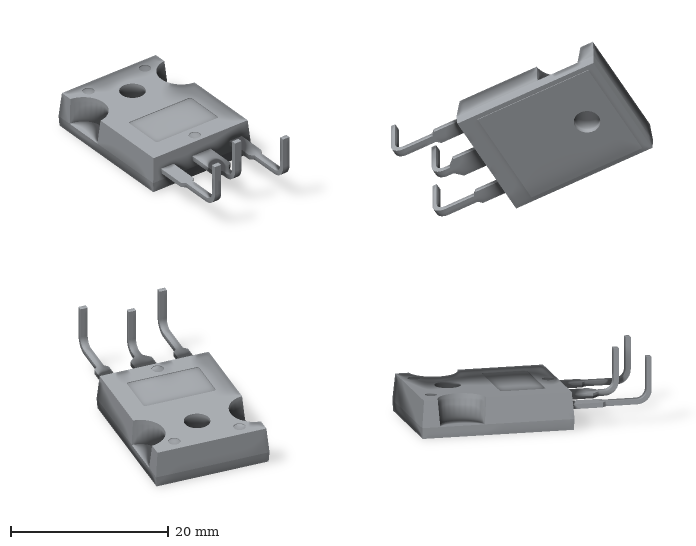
import cadquery as cq
import math

body_length = 20.0
body_width = 15.6
pad_thickness = 0.1
parting_z = 1.53
body_top_z = 5.02
top_inset = 0.3
bottom_inset = 0.1

hole_x = 5.3
hole_diameter = 3.4
notch_floor_diameter = 5.85
notch_top_diameter = 6.4

mark_depth = 0.1
dimple_diameter = 1.55
rear_dimple_x = 2.0
rear_dimple_y = 4.5
front_dimple_x = 18.48
label_start_x = 11.0
label_length = 5.97
label_width = 9.95
label_corner_radius = 0.3

pad_start_x = 1.2
pad_length = 16.13
pad_width = 14.15

lead_pitch = 5.45
lead_bottom_z = 2.48
lead_thickness = 0.65
lead_top_z = 8.6
lead_root_x = body_length - 0.92
lead_shoulder_x = 24.05
lead_tip_width = 1.0
lead_bend_radius = 1.87
outer_lead_end_x = 30.6
outer_lead_root_width = 2.0
center_lead_end_x = 27.65
center_lead_root_width = 2.95


def tapered_half(height, inset):
    """Body half rising from the parting plane; a negative height goes down."""
    taper = math.degrees(math.atan(inset / abs(height)))
    return (
        cq.Workplane("XY", origin=(body_length / 2, 0, parting_z))
        .rect(body_length, body_width)
        .extrude(height, taper=taper)
    )


def clip_notch(side):
    """Cone, narrowing downward, centred on one long edge of the body."""
    return cq.Workplane(
        cq.Solid.makeCone(
            notch_floor_diameter / 2,
            notch_top_diameter / 2,
            body_top_z - parting_z,
            pnt=cq.Vector(hole_x, side * body_width / 2, parting_z),
        )
    )


def lead(center_y, end_x, root_width):
    """Flat lead that narrows at 45 degrees and then bends straight up."""
    bend_x = end_x - lead_bend_radius
    bend_z = lead_bottom_z + lead_bend_radius
    inner_radius = lead_bend_radius - lead_thickness
    diagonal = math.sqrt(0.5)
    profile = (
        cq.Workplane("XZ", origin=(0, center_y, 0))
        .moveTo(lead_root_x, lead_bottom_z)
        .lineTo(bend_x, lead_bottom_z)
        .threePointArc(
            (bend_x + lead_bend_radius * diagonal, bend_z - lead_bend_radius * diagonal),
            (end_x, bend_z),
        )
        .lineTo(end_x, lead_top_z)
        .lineTo(end_x - lead_thickness, lead_top_z)
        .lineTo(end_x - lead_thickness, bend_z)
        .threePointArc(
            (bend_x + inner_radius * diagonal, bend_z - inner_radius * diagonal),
            (bend_x, lead_bottom_z + lead_thickness),
        )
        .lineTo(lead_root_x, lead_bottom_z + lead_thickness)
        .close()
        .extrude(root_width / 2, both=True)
    )
    half_root = root_width / 2
    half_tip = lead_tip_width / 2
    neck_x = lead_shoulder_x + half_root - half_tip
    plan = (
        cq.Workplane("XY", origin=(0, center_y, 0))
        .polyline([
            (lead_root_x, -half_root),
            (lead_shoulder_x, -half_root),
            (neck_x, -half_tip),
            (end_x, -half_tip),
            (end_x, half_tip),
            (neck_x, half_tip),
            (lead_shoulder_x, half_root),
            (lead_root_x, half_root),
        ])
        .close()
        .extrude(lead_top_z)
    )
    return profile.intersect(plan)


body = tapered_half(body_top_z - parting_z, top_inset)
body = body.union(tapered_half(pad_thickness - parting_z, bottom_inset))
pad = cq.Workplane("XY").box(pad_length, pad_width, pad_thickness, centered=(False, True, False))
body = body.union(pad.translate((pad_start_x, 0, 0)))

for side in (-1, 1):
    body = body.cut(clip_notch(side))
hole = cq.Workplane("XY").center(hole_x, 0).circle(hole_diameter / 2).extrude(body_top_z)
body = body.cut(hole)

label = (
    cq.Workplane("XY", origin=(0, 0, body_top_z - mark_depth))
    .center(label_start_x + label_length / 2, 0)
    .rect(label_length, label_width)
    .extrude(mark_depth)
    .edges("|Z")
    .fillet(label_corner_radius)
)
dimple_points = [
    (rear_dimple_x, -rear_dimple_y),
    (rear_dimple_x, rear_dimple_y),
    (front_dimple_x, 0),
]
dimples = (
    cq.Workplane("XY", origin=(0, 0, body_top_z - mark_depth))
    .pushPoints(dimple_points)
    .circle(dimple_diameter / 2)
    .extrude(mark_depth)
)
body = body.cut(label).cut(dimples)

result = body.union(lead(0, center_lead_end_x, center_lead_root_width))
for side in (-1, 1):
    result = result.union(lead(side * lead_pitch, outer_lead_end_x, outer_lead_root_width))